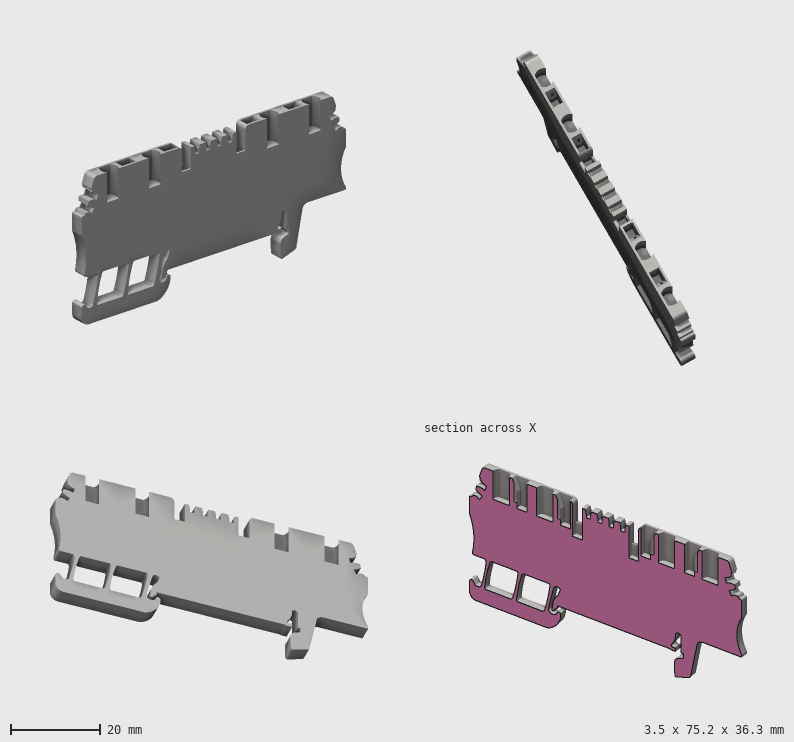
import cadquery as cq
import math

THICKNESS = 3.5
HALF_LENGTH = 37.6
HEIGHT = 36.3

SLOT_FLOOR_Z = 30.05
COMB_TOP_Z = 35.5
EAR_TOP_Z = 27.35
EAR_CORNER_RADIUS = 0.45
EAR_SIDE_Z = 22.55
BODY_BOTTOM_Z = 11.95
RAIL_FACE_Z = 6.9
FOOT_BAR_TOP_Z = 4.05

SLOT_INNER_Y = 6.45
SLOT_OUTER_Y = 9.0
SHOULDER_RADIUS = 1.05
SLOT_RECESS_START_X = 0.75
SLOT_RECESS_DEPTH = 3.0

GROOVE_COUNT = 4
GROOVE_PITCH = 3.15
GROOVE_TOP_WIDTH = 1.6
GROOVE_FLOOR_WIDTH = 1.05
GROOVE_DEPTH = 1.1

POCKET_RIM = 0.2
POCKET_DEPTH = 1.0

SKIN = 0.5
CAVITY_END_X = 3.0
CAVITY_DEPTH = 7.5
WELL_INNER_YS = (9.8, 21.8)
WELL_LENGTH = 3.9
RAMP_LENGTH = 1.35
RAMP_ANGLE = 67.5
FUNNEL_YS = (16.75, 28.8)
FUNNEL_RADIUS = 2.2
FUNNEL_CENTER_X = 2.1
TEST_HOLE_SIZE = 0.7
TEST_HOLE_CENTER_X = 2.0
TEST_HOLE_OFFSET = 3.1
TEST_HOLE_DEPTH = 6.0

WINDOW_COUNT = 2
WINDOW_PITCH = 8.8

END_TEETH = [
    (34.9, 33.4), (34.6, 33.0), (34.7, 32.6), (33.8, 31.85), (34.3, 30.65), (35.6, 30.65),
    (35.85, 29.5), (34.95, 28.9), (35.55, 27.9), (36.5, 27.95), (36.8, EAR_TOP_Z),
]
NOTCH_WALLS = [(3, 4), (7, 8)]
SHOULDER_FLAT_END_Y = 33.35
SHOULDER_ARC_MIDDLE = (33.8, 36.1)
SHOULDER_ARC_END = (34.2, 35.5)


def mirrored(point):
    """The matching point on the other side of Y = 0."""
    y, z = point
    return (-y, z)


def trace_top(outline):
    """From the +Y ear over both shoulders and the comb to the -Y ear."""
    arc = SHOULDER_RADIUS
    bend = arc * (1 - math.sqrt(0.5))
    shoulder_z = HEIGHT - arc
    ear_corner = EAR_CORNER_RADIUS
    ear_bend = ear_corner * (1 - math.sqrt(0.5))
    ear_corner_z = EAR_TOP_Z - ear_corner
    ear_middle = (HALF_LENGTH - ear_bend, EAR_TOP_Z - ear_bend)
    outline = outline.lineTo(HALF_LENGTH, ear_corner_z)
    outline = outline.threePointArc(ear_middle, (HALF_LENGTH - ear_corner, EAR_TOP_Z))
    for y, z in reversed(END_TEETH):
        outline = outline.lineTo(y, z)
    outline = (
        outline.lineTo(*SHOULDER_ARC_END)
        .threePointArc(SHOULDER_ARC_MIDDLE, (SHOULDER_FLAT_END_Y, HEIGHT))
        .lineTo(SLOT_OUTER_Y + arc, HEIGHT)
        .threePointArc((SLOT_OUTER_Y + bend, HEIGHT - bend), (SLOT_OUTER_Y, shoulder_z))
        .lineTo(SLOT_OUTER_Y, SLOT_FLOOR_Z)
        .lineTo(SLOT_INNER_Y, SLOT_FLOOR_Z)
        .lineTo(SLOT_INNER_Y, COMB_TOP_Z)
        .lineTo(-SLOT_INNER_Y, COMB_TOP_Z)
        .lineTo(-SLOT_INNER_Y, SLOT_FLOOR_Z)
        .lineTo(-SLOT_OUTER_Y, SLOT_FLOOR_Z)
        .lineTo(-SLOT_OUTER_Y, shoulder_z)
        .threePointArc((-SLOT_OUTER_Y - bend, HEIGHT - bend), (-SLOT_OUTER_Y - arc, HEIGHT))
        .lineTo(-SHOULDER_FLAT_END_Y, HEIGHT)
        .threePointArc(mirrored(SHOULDER_ARC_MIDDLE), mirrored(SHOULDER_ARC_END))
    )
    for point in END_TEETH:
        outline = outline.lineTo(*mirrored(point))
    return (
        outline.lineTo(-HALF_LENGTH + ear_corner, EAR_TOP_Z)
        .threePointArc(mirrored(ear_middle), (-HALF_LENGTH, ear_corner_z))
        .lineTo(-HALF_LENGTH, EAR_SIDE_Z)
    )


def trace_foot(outline):
    """From the -Y ear along the spring foot to the rail face."""
    return (
        outline.threePointArc((-36.4, 16.9), (-36.75, 12.6))
        .threePointArc((-36.7, 12.2), (-36.3, BODY_BOTTOM_Z))
        .lineTo(-33.2, BODY_BOTTOM_Z)
        .lineTo(-33.0, 11.3)
        .threePointArc((-33.5, 7.9), (-34.35, 4.5))
        .lineTo(-34.65, FOOT_BAR_TOP_Z)
        .lineTo(-35.85, FOOT_BAR_TOP_Z)
        .lineTo(-36.6, 5.2)
        .threePointArc((-37.1, 5.2), (-HALF_LENGTH, 4.65))
        .lineTo(-HALF_LENGTH, 2.0)
        .threePointArc((-37.05, 0.6), (-35.6, 0))
        .lineTo(-16.0, 0)
        .threePointArc((-13.45, 1.8), (-12.3, 4.35))
        .lineTo(-12.3, 5.3)
        .lineTo(-12.9, 5.55)
        .lineTo(-13.3, 5.4)
        .threePointArc((-14.6, 4.3), (-15.7, 4.95))
        .lineTo(-15.55, 6.0)
        .lineTo(-14.3, 11.35)
        .threePointArc((-13.5, BODY_BOTTOM_Z), (-12.55, 11.5))
        .lineTo(-13.15, 9.85)
        .threePointArc((-14.2, 8.4), (-14.65, 6.8))
        .lineTo(-14.9, 5.2)
        .lineTo(-14.1, 5.2)
        .lineTo(-14.0, 5.8)
        .lineTo(-13.4, 5.9)
        .lineTo(-13.2, RAIL_FACE_Z)
    )


def trace_hook(outline):
    """From the rail face around the +Y hook leg and up to the +Y ear."""
    return (
        outline.lineTo(17.65, RAIL_FACE_Z)
        .lineTo(18.1, 6.8)
        .lineTo(19.3, 6.8)
        .lineTo(19.3, 7.9)
        .lineTo(18.6, 7.7)
        .threePointArc((18.2, 8.0), (18.25, 8.4))
        .threePointArc((19.0, 9.55), (19.3, 10.9))
        .lineTo(19.3, 11.5)
        .threePointArc((20.0, BODY_BOTTOM_Z), (20.7, 11.5))
        .lineTo(20.7, 7.0)
        .lineTo(21.35, 6.9)
        .lineTo(21.35, 5.85)
        .lineTo(19.5, 5.1)
        .threePointArc((19.1, 4.5), (18.9, 3.5))
        .lineTo(18.9, 1.8)
        .lineTo(19.0, 0.2)
        .lineTo(19.4, 0)
        .lineTo(23.15, 1.3)
        .lineTo(23.45, 1.6)
        .lineTo(25.2, 10.45)
        .threePointArc((25.55, 11.4), (26.7, BODY_BOTTOM_Z))
        .lineTo(HALF_LENGTH, BODY_BOTTOM_Z)
        .lineTo(HALF_LENGTH, 12.6)
        .threePointArc((36.2, 17.35), (HALF_LENGTH, EAR_SIDE_Z))
    )


def make_plate():
    outline = cq.Workplane("YZ").moveTo(HALF_LENGTH, EAR_SIDE_Z)
    outline = trace_top(outline)
    outline = trace_foot(outline)
    outline = trace_hook(outline)
    return outline.close().extrude(THICKNESS)


def make_window(index):
    """Opening between two leaf springs, with gently bowed sides."""
    return (
        cq.Workplane("YZ")
        .center(-index * WINDOW_PITCH, 0)
        .moveTo(-15.6, BODY_BOTTOM_Z)
        .lineTo(-22.7, BODY_BOTTOM_Z)
        .lineTo(-23.0, 11.65)
        .threePointArc((-24.0, 8.0), (-24.5, 4.5))
        .lineTo(-24.35, FOOT_BAR_TOP_Z)
        .lineTo(-17.2, FOOT_BAR_TOP_Z)
        .lineTo(-16.9, 4.4)
        .threePointArc((-16.0, 8.0), (-15.4, 11.6))
        .close()
        .extrude(THICKNESS)
    )


def make_box(start, size):
    return cq.Workplane("XY").box(*size, centered=False).translate(start)


def make_pocket(wall_start, wall_end):
    """Pocket sunk into a wall of the outline, with a sloped rim behind the skin and open to +X.

    With +Y to the right and +Z up, the solid lies to the right of the way from start to end.
    """
    start_y, start_z = wall_start
    end_y, end_z = wall_end
    length = math.hypot(end_y - start_y, end_z - start_z)
    angle = math.degrees(math.atan2(end_z - start_z, end_y - start_y))
    pocket = (
        cq.Workplane("XZ")
        .polyline([
            (POCKET_RIM, 0),
            (THICKNESS, 0),
            (THICKNESS, -POCKET_DEPTH),
            (SKIN, -POCKET_DEPTH),
        ])
        .close()
        .extrude(-length)
    )
    return pocket.rotate((0, 0, 0), (1, 0, 0), angle).translate((0, start_y, start_z))


def make_groove(center_y):
    """Tapered groove across the plate with a pocket in its floor."""
    floor_z = COMB_TOP_Z - GROOVE_DEPTH
    half_top = GROOVE_TOP_WIDTH / 2
    floor_start = (center_y - GROOVE_FLOOR_WIDTH / 2, floor_z)
    floor_end = (center_y + GROOVE_FLOOR_WIDTH / 2, floor_z)
    groove = (
        cq.Workplane("YZ")
        .polyline([
            (center_y - half_top, COMB_TOP_Z),
            (center_y + half_top, COMB_TOP_Z),
            floor_end,
            floor_start,
        ])
        .close()
        .extrude(THICKNESS)
    )
    return groove.union(make_pocket(floor_start, floor_end))


def make_well(inner_y):
    """Release well with a steep ramp on its outer side and a test hole in the ramp."""
    outer_y = inner_y + WELL_LENGTH
    ramp_bottom_z = HEIGHT - RAMP_LENGTH * math.tan(math.radians(RAMP_ANGLE))
    width = CAVITY_END_X - SKIN
    well = (
        cq.Workplane("YZ", origin=(SKIN, 0, 0))
        .polyline([
            (inner_y, HEIGHT),
            (outer_y, HEIGHT),
            (outer_y - RAMP_LENGTH, ramp_bottom_z),
            (outer_y - RAMP_LENGTH, HEIGHT - CAVITY_DEPTH),
            (inner_y, HEIGHT - CAVITY_DEPTH),
        ])
        .close()
        .extrude(width)
    )
    half_hole = TEST_HOLE_SIZE / 2
    hole = make_box(
        (TEST_HOLE_CENTER_X - half_hole, inner_y + TEST_HOLE_OFFSET - half_hole, HEIGHT - TEST_HOLE_DEPTH),
        (TEST_HOLE_SIZE, TEST_HOLE_SIZE, TEST_HOLE_DEPTH),
    )
    return well.union(hole)


def make_funnel(center_y):
    """Round wire funnel, cut flat by the skin and open to the +X side."""
    round_part = (
        cq.Workplane("XY", origin=(FUNNEL_CENTER_X, center_y, HEIGHT - CAVITY_DEPTH))
        .circle(FUNNEL_RADIUS)
        .extrude(CAVITY_DEPTH)
    )
    behind_skin = make_box(
        (SKIN, center_y - FUNNEL_RADIUS, HEIGHT - CAVITY_DEPTH),
        (THICKNESS, 2 * FUNNEL_RADIUS, CAVITY_DEPTH),
    )
    return round_part.intersect(behind_skin)


def make_slot_recess():
    return make_box(
        (SLOT_RECESS_START_X, SLOT_INNER_Y, SLOT_FLOOR_Z - SLOT_RECESS_DEPTH),
        (CAVITY_END_X - SLOT_RECESS_START_X, SLOT_OUTER_Y - SLOT_INNER_Y, SLOT_RECESS_DEPTH),
    )


def make_housing():
    housing = make_plate()
    for index in range(WINDOW_COUNT):
        housing = housing.cut(make_window(index))
    for index in range(GROOVE_COUNT):
        center_y = (index - (GROOVE_COUNT - 1) / 2) * GROOVE_PITCH
        housing = housing.cut(make_groove(center_y))
    cavities = [make_well(y) for y in WELL_INNER_YS]
    cavities += [make_funnel(y) for y in FUNNEL_YS]
    cavities += [make_pocket(END_TEETH[top], END_TEETH[bottom]) for top, bottom in NOTCH_WALLS]
    cavities.append(make_slot_recess())
    for cavity in cavities:
        housing = housing.cut(cavity).cut(cavity.mirror("XZ"))
    return housing


housing = make_housing()
result = cq.Compound.makeCompound([housing.val()])